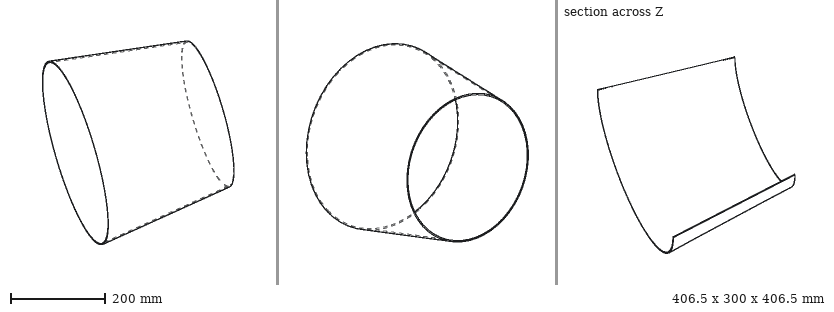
import cadquery as cq

large_diameter = 406.5
small_diameter = 324.0
length = 300.0
wall = 3.0

large_radius = large_diameter / 2
small_radius = small_diameter / 2

wall_section = (
    cq.Workplane("XY")
    .moveTo(large_radius - wall, 0)
    .lineTo(large_radius, 0)
    .lineTo(small_radius, length)
    .lineTo(small_radius - wall, length)
    .close()
)

result = wall_section.revolve(360, (0, 0, 0), (0, 1, 0))